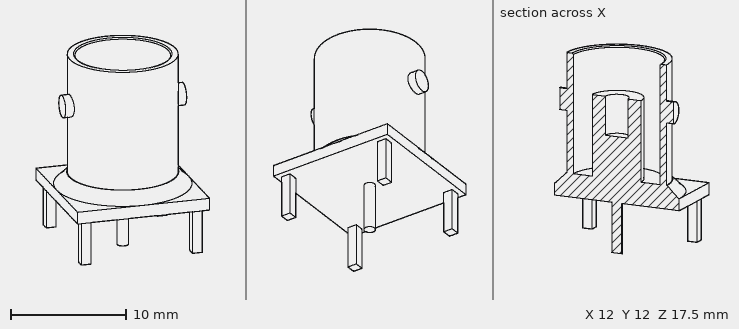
import cadquery as cq

total_height = 17.5
plate_side = 12.0
plate_bottom = 4.52
plate_thickness = 1.08
flare_height = 1.08
flare_top_diameter = 9.73
plate_top = plate_bottom + plate_thickness
flare_top = plate_top + flare_height

barrel_diameter = 9.62
bore_diameter = 8.3
mouth_diameter = 8.54
mouth_chamfer = (mouth_diameter - bore_diameter) / 2
bore_floor = flare_top

insulator_diameter = 4.7
insulator_recess = 3.5
insulator_top = total_height - insulator_recess
socket_diameter = 2.14
socket_depth = 3.5

peg_diameter = 2.0
peg_span = 11.0
peg_level = 13.25

leg_side = 0.9
leg_bottom = 0.5
leg_inset = 0.5
leg_spacing = plate_side - 2 * leg_inset - leg_side
pin_diameter = 1.0


def cylinder(diameter, bottom, top):
    """Upright cylinder on the Z axis."""
    return cq.Workplane("XY").workplane(offset=bottom).circle(diameter / 2).extrude(top - bottom)


def make_base():
    """Square plate with a conical flare that ends in a fine step around the barrel."""
    plate = (
        cq.Workplane("XY").workplane(offset=plate_bottom)
        .rect(plate_side, plate_side).extrude(plate_thickness)
    )
    flare = (
        cq.Workplane("XY").workplane(offset=plate_top).circle(plate_side / 2)
        .workplane(offset=flare_height).circle(flare_top_diameter / 2).loft(ruled=True)
    )
    return plate.union(flare)


def make_barrel():
    """Barrel with both bayonet pegs, before boring."""
    barrel = cylinder(barrel_diameter, plate_top, total_height)
    pegs = (
        cq.Workplane("XZ").center(0, peg_level)
        .circle(peg_diameter / 2).extrude(peg_span / 2, both=True)
    )
    return barrel.union(pegs)


def make_bore():
    """Bore cutter, widened by a small chamfer at the mouth."""
    bore = cylinder(bore_diameter, bore_floor, total_height)
    mouth = (
        cq.Workplane("XY").workplane(offset=total_height - mouth_chamfer).circle(bore_diameter / 2)
        .workplane(offset=mouth_chamfer).circle(mouth_diameter / 2).loft(ruled=True)
    )
    return bore.union(mouth)


def make_insulator():
    """Insulator post with a blind contact socket in its top."""
    post = cylinder(insulator_diameter, plate_top, insulator_top)
    return post.cut(cylinder(socket_diameter, insulator_top - socket_depth, insulator_top))


def make_terminals():
    """Four square corner legs and the round centre pin."""
    legs = (
        cq.Workplane("XY").workplane(offset=leg_bottom)
        .rarray(leg_spacing, leg_spacing, 2, 2)
        .rect(leg_side, leg_side).extrude(plate_bottom - leg_bottom)
    )
    return legs.union(cylinder(pin_diameter, 0, plate_bottom))


body = make_base().union(make_barrel()).cut(make_bore())
result = body.union(make_insulator()).union(make_terminals())